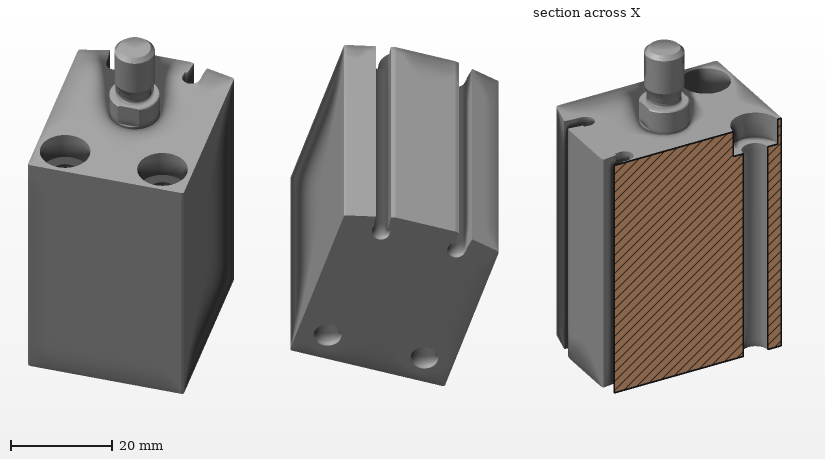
import cadquery as cq
import math


width = 32.0
depth = 39.0
total_height = 69.0
housing_height = 52.0
back_y = 18.0
front_y = back_y - depth
corner_radius = 0.5

back_flat_half_width = 6.2
shoulder_angle = math.radians(14)
shoulder_y = back_y - (width / 2 - back_flat_half_width) * math.tan(shoulder_angle)

groove_x = 7.8
groove_y = 13.4
groove_width = 3.6
groove_ledge = 1.1
mouth_width = 3.0
mouth_offset = 0.2
mouth_end = 6.9
groove_tilt = 7.2

hole_x = 10.0
hole_y = -15.05
hole_diameter = 5.5
counterbore_diameter = 10.0
counterbore_depth = 5.65

rod_length = total_height - housing_height
collar_radius = 10.0 / 2
collar_height = 5.1
collar_chamfer = 0.2
flats_distance = 9.05
flats_bottom = 0.55
neck_radius = 6.2 / 2
neck_fillet = 0.4
neck_top = 5.9
taper_bottom = 6.15
taper_bottom_radius = 3.2
taper_middle = 7.25
taper_middle_radius = 3.45
taper_top = 8.6
stud_radius = 8.0 / 2
tip_chamfer = 0.8


def make_groove(side):
    """Undercut groove cutter; side is -1 for left and 1 for right."""
    round_bottom = cq.Workplane("XY").circle(groove_width / 2).extrude(housing_height)
    pocket = (
        cq.Workplane("XY")
        .center(0, groove_ledge / 2)
        .rect(groove_width, groove_ledge)
        .extrude(housing_height)
    )
    mouth = (
        cq.Workplane("XY")
        .center(side * mouth_offset, mouth_end / 2)
        .rect(mouth_width, mouth_end)
        .extrude(housing_height)
    )
    groove = round_bottom.union(pocket).union(mouth)
    groove = groove.rotate((0, 0, 0), (0, 0, 1), -side * groove_tilt)
    return groove.translate((side * groove_x, groove_y, 0))


def make_housing():
    block = (
        cq.Workplane("XY")
        .moveTo(-width / 2, front_y)
        .lineTo(width / 2, front_y)
        .lineTo(width / 2, shoulder_y)
        .lineTo(back_flat_half_width, back_y)
        .lineTo(-back_flat_half_width, back_y)
        .lineTo(-width / 2, shoulder_y)
        .close()
        .extrude(housing_height)
    )
    block = block.edges("|Z and (<X or >X)").fillet(corner_radius)
    for side in (-1, 1):
        block = block.cut(make_groove(side))
    return (
        block.faces(">Z")
        .workplane(origin=(0, 0, housing_height))
        .pushPoints([(-hole_x, hole_y), (hole_x, hole_y)])
        .cboreHole(hole_diameter, counterbore_diameter, counterbore_depth)
    )


def make_rod_end():
    fillet_offset = neck_fillet * (1 - math.sqrt(0.5))
    rod = (
        cq.Workplane("XZ")
        .lineTo(collar_radius, 0)
        .lineTo(collar_radius, collar_height - collar_chamfer)
        .lineTo(collar_radius - collar_chamfer, collar_height)
        .lineTo(neck_radius + neck_fillet, collar_height)
        .threePointArc(
            (neck_radius + fillet_offset, collar_height + fillet_offset),
            (neck_radius, collar_height + neck_fillet),
        )
        .lineTo(neck_radius, neck_top)
        .lineTo(taper_bottom_radius, taper_bottom)
        .threePointArc((taper_middle_radius, taper_middle), (stud_radius, taper_top))
        .lineTo(stud_radius, rod_length - tip_chamfer)
        .lineTo(stud_radius - tip_chamfer, rod_length)
        .lineTo(0, rod_length)
        .close()
        .revolve(360, (0, 0), (0, 1))
    )
    for side in (-1, 1):
        flat_cutter = (
            cq.Workplane("XY")
            .box(2 * collar_radius, collar_radius, collar_height, centered=(True, True, False))
            .translate((0, side * (flats_distance + collar_radius) / 2, flats_bottom))
        )
        rod = rod.cut(flat_cutter)
    return rod.translate((0, 0, housing_height))


housing = make_housing()
rod_end = make_rod_end()

result = cq.Compound.makeCompound([housing.val(), rod_end.val()])